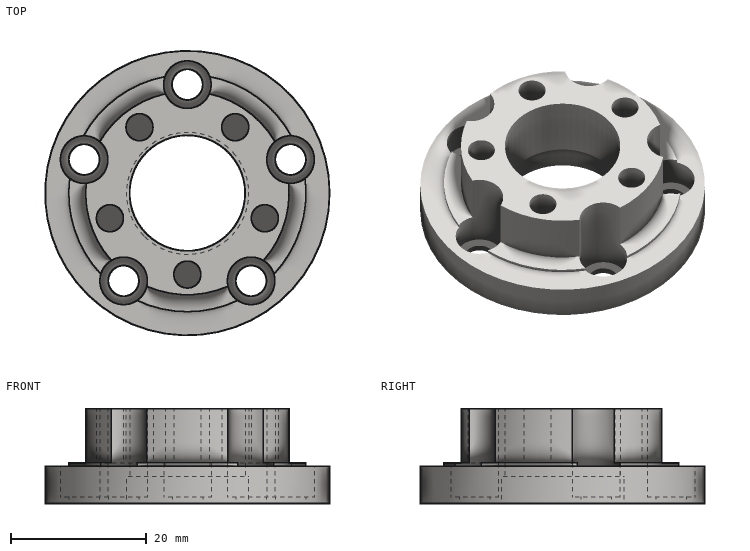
import cadquery as cq

flange_top = 5.5
step_top = 6.0
total_height = 14.0

flange_diameter = 42.0
step_diameter = 35.0
boss_diameter = 30.0
bore_diameter = 17.0
bottom_recess_diameter = 18.0
bottom_recess_depth = 4.0

fastener_count = 5
bolt_circle_radius = 16.0
bolt_hole_diameter = 4.5
counterbore_diameter = 7.0
counterbore_floor = 1.0
bolt_start_angle = 90.0

blind_circle_radius = 12.0
blind_hole_diameter = 4.0
blind_hole_depth = 8.0
blind_start_angle = bolt_start_angle + 180.0 / fastener_count


def cylinder(diameter, bottom, top):
    """Solid cylinder on the Z axis between two heights."""
    return cq.Workplane("XY").workplane(offset=bottom).circle(diameter / 2).extrude(top - bottom)


def cylinder_ring(diameter, bottom, top, ring_radius, start_angle):
    """Equally spaced vertical cylinders around the Z axis."""
    return (
        cq.Workplane("XY")
        .workplane(offset=bottom)
        .polarArray(ring_radius, start_angle, 360, fastener_count)
        .circle(diameter / 2)
        .extrude(top - bottom)
    )


body = cylinder(flange_diameter, 0, flange_top)
body = body.union(cylinder(step_diameter, 0, step_top))
body = body.union(cylinder(boss_diameter, 0, total_height))

body = body.cut(cylinder(bore_diameter, 0, total_height))
body = body.cut(cylinder(bottom_recess_diameter, 0, bottom_recess_depth))

body = body.cut(
    cylinder_ring(bolt_hole_diameter, 0, total_height, bolt_circle_radius, bolt_start_angle)
)
body = body.cut(
    cylinder_ring(
        counterbore_diameter, counterbore_floor, total_height, bolt_circle_radius, bolt_start_angle
    )
)

blind_floor = total_height - blind_hole_depth
result = body.cut(
    cylinder_ring(
        blind_hole_diameter, blind_floor, total_height, blind_circle_radius, blind_start_angle
    )
)